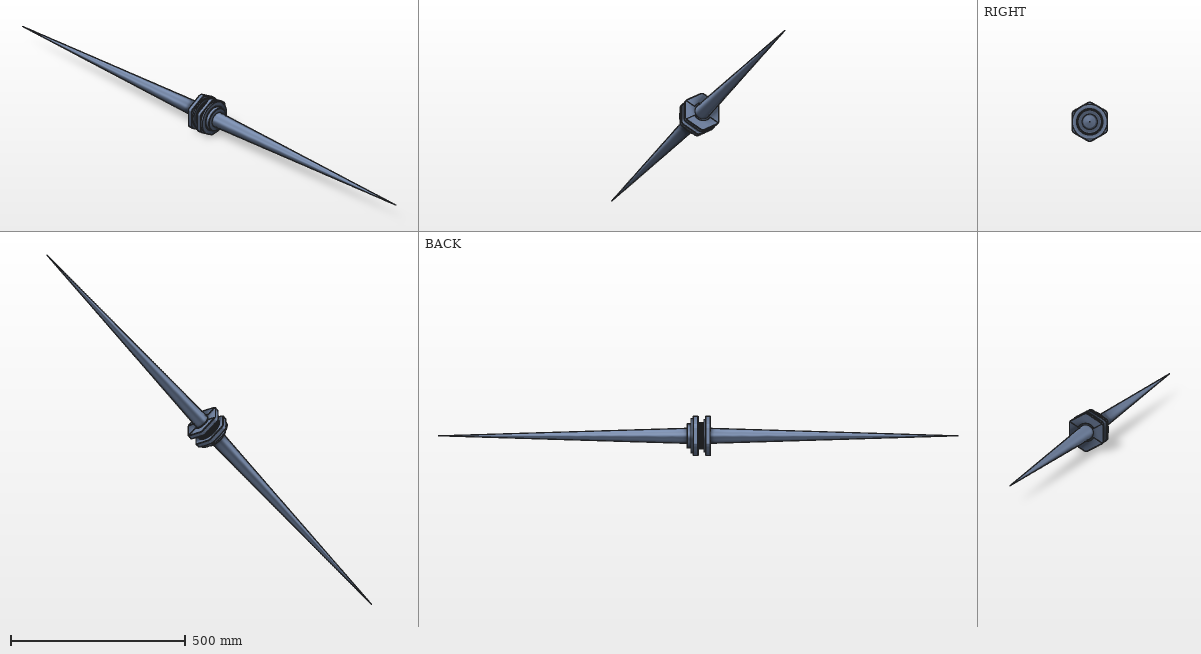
import cadquery as cq
import math

rod_length = 1489.0
rod_diameter = 46.0
tip_diameter = 0.6

across_flats = 101.0
corner_radius = 12.0
hexagon_chamfer = 1.0

head_start = -35.0
head_thickness = 15.0
flange_thickness = 5.0
gland_length = 69.0
flange_diameter = 94.0
sector_angle = 60.0
sector_depth = 1.0
collar_diameter = 70.0
bore_rim_diameter = 54.0
bore_rim_depth = 1.0
collar_chamfer = 1.0

thread_diameter = 76.0
thread_depth = 2.2
thread_pitch = 3.0
thread_groove_width = 1.0

nut_start = 0.0
nut_thickness = 15.0
nut_flange_thickness = 6.0
nut_flange_diameter = 100.0

flange_start = head_start + head_thickness
shank_start = flange_start + flange_thickness
nut_flange_start = nut_start + nut_thickness
collar_start = nut_flange_start + nut_flange_thickness
collar_end = head_start + gland_length


def cylinder(start, end, diameter):
    return cq.Workplane("YZ", origin=(start, 0, 0)).circle(diameter / 2).extrude(end - start)


def hexagon(start, thickness):
    """Hexagonal prism along X with flats facing +Y and -Y and rounded corners, chamfered at both ends."""
    sharp_corner_diameter = across_flats / math.cos(math.radians(30))
    return (
        cq.Workplane("YZ", origin=(start, 0, 0))
        .transformed(rotate=(0, 0, 30))
        .polygon(6, sharp_corner_diameter)
        .extrude(thickness)
        .edges("|X")
        .fillet(corner_radius)
        .faces("<X or >X")
        .chamfer(hexagon_chamfer)
    )


def make_rod():
    half_profile = [
        (-rod_length / 2, 0),
        (-rod_length / 2, tip_diameter / 2),
        (0, rod_diameter / 2),
        (rod_length / 2, tip_diameter / 2),
        (rod_length / 2, 0),
    ]
    return cq.Workplane("XY").polyline(half_profile).close().revolve(360, (0, 0, 0), (1, 0, 0))


def thread_groove(start):
    root_diameter = thread_diameter - 2 * thread_depth
    outer = cylinder(start, start + thread_groove_width, across_flats)
    return outer.cut(cylinder(start, start + thread_groove_width, root_diameter))


def face_sectors():
    """Two opposite wedges that lower the head face between its corners on the +Y and -Y sides."""
    half_width = across_flats * math.tan(math.radians(sector_angle / 2))
    sectors = cq.Workplane("YZ", origin=(head_start, 0, 0))
    for side in (-1, 1):
        triangle = [(0, 0), (side * across_flats, half_width), (side * across_flats, -half_width)]
        sectors = sectors.polyline(triangle).close()
    return sectors.extrude(sector_depth)


def make_gland(rod):
    collar = cylinder(collar_start, collar_end, collar_diameter).faces(">X").edges().chamfer(collar_chamfer)
    gland = (
        hexagon(head_start, head_thickness)
        .union(cylinder(flange_start, shank_start, flange_diameter))
        .union(cylinder(shank_start, collar_start, thread_diameter))
        .union(collar)
        .cut(face_sectors())
        .cut(cylinder(head_start, head_start + bore_rim_depth, bore_rim_diameter))
    )
    groove_count = int((nut_start - shank_start) / thread_pitch)
    for index in range(groove_count):
        gland = gland.cut(thread_groove(shank_start + index * thread_pitch + thread_groove_width))
    return gland.cut(rod)


def make_nut():
    bore = cylinder(nut_start, collar_start, thread_diameter)
    flange = cylinder(nut_flange_start, collar_start, nut_flange_diameter)
    return hexagon(nut_start, nut_thickness).union(flange).cut(bore)


rod = make_rod()
gland = make_gland(rod)
nut = make_nut()

result = cq.Compound.makeCompound([rod.val(), gland.val(), nut.val()])